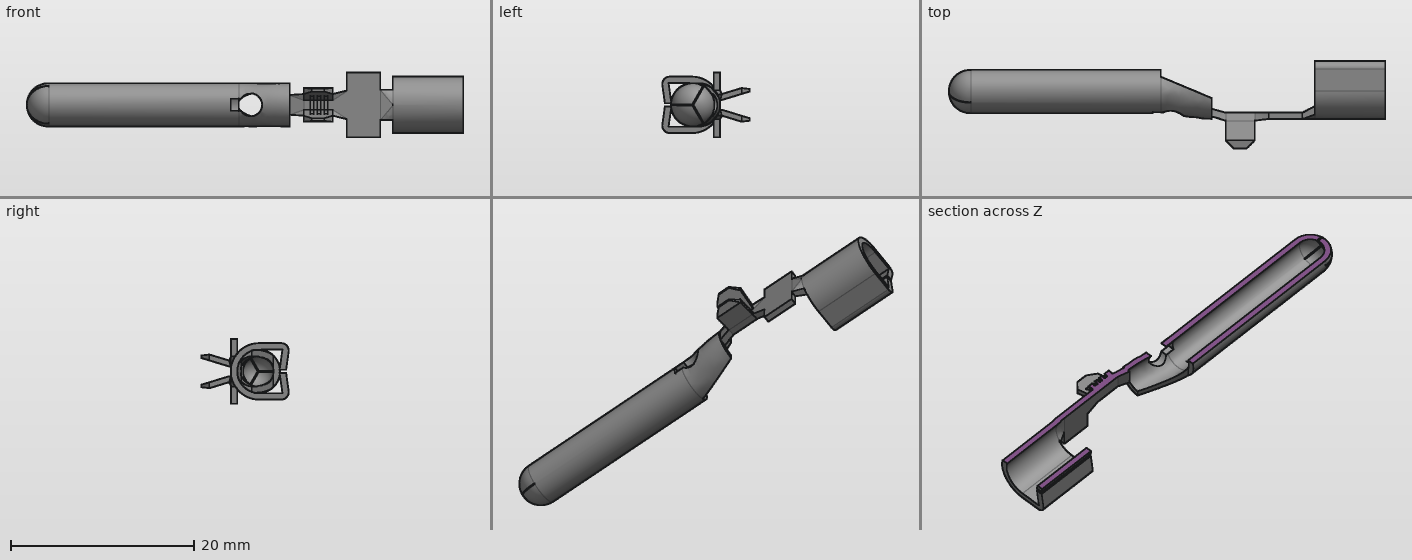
import cadquery as cq
import math

sheet = 0.7
floor_outer = -3.0
floor_inner = floor_outer + sheet

pin_end = 23.15
trough_end = 28.7
tab_start = 30.2
tab_end = 33.4
plate_start = 34.9
plate_end = 38.55
barrel_start = 39.9
total_length = 47.6

pin_radius = 2.4
bore_radius = pin_radius - sheet
slit_width = 0.1
petal_count = 3

trough_centre = floor_outer + pin_radius
trough_edge_high = 1.6
trough_edge_low = -0.7
hole_x = 24.45
hole_diameter = 2.5
notch_start = 22.25
notch_width = 1.35

tab_tip = -6.25
tab_bend = -3.2
tab_root_z = 1.2
tab_angle = 17.0
tab_slope = math.tan(math.radians(tab_angle))
tab_corner = 0.9
tab_tip_thickness = 0.3
tab_roof_half_width = 0.9
tab_inner_half_width = 0.52
groove_positions = (31.1, 31.9, 32.6)
groove_width = 0.4
groove_half_span = 0.95
groove_depth = 0.15

plate_height = 7.1
plate_neck_half_width = 1.55

barrel_radius = 3.1
barrel_centre = floor_outer + barrel_radius
barrel_back = 3.35
barrel_fold_radius = 0.85
lip_angle = 8.0
lip_gap = 0.35
barrel_neck_half_width = 1.65
trough_neck_half_width = 1.1

neck_rim = 0.05


def box(x0, x1, y0, y1, z0, z1):
    return cq.Workplane("XY").box(x1 - x0, y1 - y0, z1 - z0, centered=False).translate((x0, y0, z0))


def circle_low_side(z, centre, radius):
    """Y of the -Y side of a circle at height z."""
    return centre - math.sqrt(radius**2 - z**2)


def mirrored_section(x, half_outline):
    """Closed wire at station x from (y, z) points given for the +Z half."""
    other_half = [(y, -z) for y, z in reversed(half_outline)]
    points = [cq.Vector(x, y, z) for y, z in half_outline + other_half]
    return cq.Wire.makePolygon(points, close=True)


def loft_between(first, second):
    return cq.Workplane(obj=cq.Solid.makeLoft([first, second], True))


def make_pin():
    pin = (
        cq.Workplane("XY")
        .moveTo(0, 0)
        .threePointArc(
            (pin_radius * (1 - math.sqrt(0.5)), pin_radius * math.sqrt(0.5)),
            (pin_radius, pin_radius),
        )
        .lineTo(pin_end, pin_radius)
        .lineTo(pin_end, bore_radius)
        .lineTo(pin_radius, bore_radius)
        .threePointArc(
            (pin_radius - bore_radius * math.sqrt(0.5), bore_radius * math.sqrt(0.5)),
            (sheet, 0),
        )
        .close()
        .revolve(360, (0, 0, 0), (1, 0, 0))
    )
    half_slit = slit_width / 2
    for petal in range(petal_count):
        slit = box(0, pin_radius, 0, pin_radius, -half_slit, half_slit)
        angle = petal * 360 / petal_count
        pin = pin.cut(slit.rotate((0, 0, 0), (1, 0, 0), angle))
    return pin


def make_trough():
    path = cq.Workplane("XY").spline(
        [(pin_end, 0), (trough_end, trough_centre)], tangents=[(1, 0), (1, 0)]
    )
    tube = (
        cq.Workplane("YZ", origin=(pin_end, 0, 0))
        .circle(pin_radius)
        .circle(bore_radius)
        .sweep(path)
    )
    open_side = (
        cq.Workplane("XY")
        .polyline(
            [
                (pin_end, trough_edge_high),
                (trough_end, trough_edge_low),
                (trough_end, 2 * pin_radius),
                (pin_end, 2 * pin_radius),
            ]
        )
        .close()
        .extrude(2 * pin_radius, both=True)
    )
    return tube.cut(open_side)


def cut_hole_and_notch(body):
    hole = (
        cq.Workplane("XZ", origin=(hole_x, 0, 0))
        .circle(hole_diameter / 2)
        .extrude(2 * pin_radius)
    )
    notch = box(notch_start, hole_x, -2 * pin_radius, 0, -notch_width / 2, notch_width / 2)
    return body.cut(hole).cut(notch)


def tab_base_outline():
    """+Z half of the bridge section that carries the two tabs."""
    return [
        (floor_inner, tab_roof_half_width),
        (tab_bend, tab_root_z),
        (floor_outer, tab_inner_half_width),
    ]


def make_tab():
    """Tab on the +Z side: a plate leaning outward with a bevelled, clipped tip."""
    bevel_y = tab_tip + tab_corner
    bend_to_tip = tab_bend - tab_tip
    tip_outer_z = tab_root_z + bend_to_tip * tab_slope
    bevel_outer_z = tab_root_z + (tab_bend - bevel_y) * tab_slope
    thickness_z = tab_root_z - tab_inner_half_width
    tip_inner_z = tip_outer_z - thickness_z
    side = (
        cq.Workplane("YZ", origin=(tab_start, 0, 0))
        .polyline(
            [
                (floor_inner, tab_roof_half_width),
                (tab_bend, tab_root_z),
                (bevel_y, bevel_outer_z),
                (tab_tip, tip_inner_z + tab_tip_thickness),
                (tab_tip, tip_inner_z),
                (tab_bend, tab_inner_half_width),
                (floor_inner, tab_inner_half_width),
            ]
        )
        .close()
        .extrude(tab_end - tab_start)
    )
    clipped = (
        cq.Workplane("XY")
        .polyline(
            [
                (tab_start, floor_inner),
                (tab_start, bevel_y),
                (tab_start + tab_corner, tab_tip),
                (tab_end - tab_corner, tab_tip),
                (tab_end, bevel_y),
                (tab_end, floor_inner),
            ]
        )
        .close()
        .extrude(tip_outer_z)
    )
    return side.intersect(clipped)


def make_tab_bridge():
    base = mirrored_section(tab_start, tab_base_outline())
    bridge = cq.Workplane(obj=cq.Solid.extrudeLinear(base, [], cq.Vector(tab_end - tab_start, 0, 0)))
    tab = make_tab()
    bridge = bridge.union(tab).union(tab.mirror("XY"))

    groove_low_y = tab_bend - (groove_half_span - tab_inner_half_width) / tab_slope
    groove_outline = [
        (floor_outer + groove_depth, tab_inner_half_width),
        (tab_bend, tab_inner_half_width + groove_depth),
        (groove_low_y, groove_half_span + groove_depth),
        (groove_low_y, groove_half_span),
        (tab_bend, tab_inner_half_width),
        (floor_outer, tab_inner_half_width),
    ]
    for x in groove_positions:
        wire = mirrored_section(x - groove_width / 2, groove_outline)
        groove = cq.Solid.extrudeLinear(wire, [], cq.Vector(groove_width, 0, 0))
        bridge = bridge.cut(cq.Workplane(obj=groove))
    return bridge


def make_trough_neck():
    edge = trough_neck_half_width
    floor_z = edge - neck_rim
    start_outline = [
        (circle_low_side(edge, trough_centre, bore_radius), edge),
        (circle_low_side(edge, trough_centre, pin_radius), edge),
        (circle_low_side(floor_z, trough_centre, pin_radius), floor_z),
    ]
    start = mirrored_section(trough_end, start_outline)
    return loft_between(start, mirrored_section(tab_start, tab_base_outline()))


def make_plate_neck():
    edge = plate_neck_half_width
    end_outline = [
        (floor_inner, edge),
        (floor_outer, edge),
        (floor_outer, edge - neck_rim),
    ]
    start = mirrored_section(tab_end, tab_base_outline())
    return loft_between(start, mirrored_section(plate_start, end_outline))


def make_plate():
    return box(plate_start, plate_end, floor_outer, floor_inner, -plate_height / 2, plate_height / 2)


def make_barrel_neck():
    """Floor whose flat middle narrows to a point as its sides curl up to the barrel."""
    edge = barrel_neck_half_width
    inner_radius = barrel_radius - sheet
    inner_y = circle_low_side(edge, barrel_centre, inner_radius)
    outer_y = circle_low_side(edge, barrel_centre, barrel_radius)
    side_middle_y = circle_low_side(edge / 2, barrel_centre, barrel_radius)
    rim_y = circle_low_side(neck_rim, barrel_centre, barrel_radius)
    flat_outline = [(floor_inner, edge), (floor_outer, edge), (floor_outer, edge - neck_rim)]
    flat = mirrored_section(plate_end, flat_outline)
    curved = (
        cq.Workplane("YZ", origin=(barrel_start, 0, 0))
        .moveTo(inner_y, edge)
        .lineTo(outer_y, edge)
        .threePointArc((side_middle_y, edge / 2), (rim_y, neck_rim))
        .lineTo(rim_y, -neck_rim)
        .threePointArc((side_middle_y, -edge / 2), (outer_y, -edge))
        .lineTo(inner_y, -edge)
        .threePointArc((floor_inner, 0), (inner_y, edge))
        .close()
    )
    return loft_between(flat, curved.val())


def make_barrel():
    """Round floor, flat sides and two lips folded in on the +Y side."""
    length = total_length - barrel_start
    inner_radius = barrel_radius - sheet
    lip_lean = math.tan(math.radians(lip_angle))
    lip_end_z = lip_gap / 2
    fold_y = barrel_back - barrel_fold_radius
    fold_z = barrel_radius - barrel_fold_radius
    diagonal = barrel_fold_radius * math.sqrt(0.5)
    lip_inner_y = barrel_back - sheet
    half = (
        cq.Workplane("YZ", origin=(barrel_start, 0, 0))
        .moveTo(floor_outer, 0)
        .threePointArc(
            (barrel_centre - barrel_radius * math.sqrt(0.5), barrel_radius * math.sqrt(0.5)),
            (barrel_centre, barrel_radius),
        )
        .lineTo(fold_y, barrel_radius)
        .threePointArc((fold_y + diagonal, fold_z + diagonal), (barrel_back, fold_z))
        .lineTo(barrel_back - (fold_z - lip_end_z) * lip_lean, lip_end_z)
        .lineTo(lip_inner_y - (inner_radius - lip_end_z) * lip_lean, lip_end_z)
        .lineTo(lip_inner_y, inner_radius)
        .lineTo(barrel_centre, inner_radius)
        .threePointArc(
            (barrel_centre - inner_radius * math.sqrt(0.5), inner_radius * math.sqrt(0.5)),
            (floor_inner, 0),
        )
        .close()
        .extrude(length)
    )
    return half.union(half.mirror("XY"))


rolled_end = cut_hole_and_notch(make_pin().union(make_trough()))
result = (
    rolled_end.union(make_trough_neck())
    .union(make_tab_bridge())
    .union(make_plate_neck())
    .union(make_plate())
    .union(make_barrel_neck())
    .union(make_barrel())
)